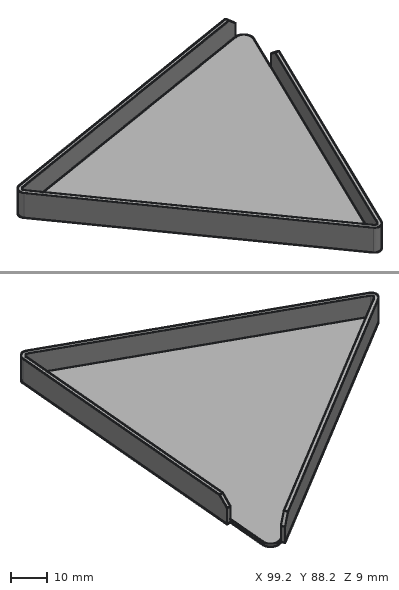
import cadquery as cq
import math

inner_side = 100.0
wall = 1.2
floor_thickness = 1.2
height = 9.0
outer_corner_radius = 2.0
inner_corner_radius = outer_corner_radius - wall

floor_corner_radius = 3.0
back_wall_gap = 18.0
left_wall_gap = 5.0
end_bevel = 3.0

inner_inradius = inner_side / (2 * math.sqrt(3))
outer_inradius = inner_inradius + wall
open_corner = (-inner_side / 2, inner_inradius)
left_side_angle = -60.0


def triangle_prism(inradius, thickness):
    """Equilateral prism standing on Z = 0, with one side facing +Y."""
    half_side = inradius * math.sqrt(3)
    corners = [(-half_side, inradius), (half_side, inradius), (0, -2 * inradius)]
    return cq.Workplane("XY").polyline(corners).close().extrude(thickness)


def round_closed_corners(inner_prism):
    """Round the two corners where walls meet, leaving the open corner sharp."""
    return inner_prism.edges("|Z and (>X or <Y)").fillet(inner_corner_radius)


def make_walls():
    outer = triangle_prism(outer_inradius, height).edges("|Z").fillet(outer_corner_radius)
    inner = round_closed_corners(triangle_prism(inner_inradius, height))
    return outer.cut(inner)


def wall_end_cutter(gap, outward_sign):
    """Cutter that ends a wall running along +X from the origin, `gap` away from it.

    outward_sign tells whether the wall lies on the +Y or the -Y side of the X axis.
    """
    reach = 2 * wall
    profile = [
        (-reach, 0),
        (gap, 0),
        (gap, height - end_bevel),
        (gap + end_bevel, height),
        (-reach, height),
    ]
    return cq.Workplane("XZ").polyline(profile).close().extrude(-outward_sign * reach)


def cut_open_corner(walls):
    corner_position = (open_corner[0], open_corner[1], 0)
    back_cutter = wall_end_cutter(back_wall_gap, 1).translate(corner_position)
    left_cutter = (
        wall_end_cutter(left_wall_gap, -1)
        .rotate((0, 0, 0), (0, 0, 1), left_side_angle)
        .translate(corner_position)
    )
    return walls.cut(back_cutter).cut(left_cutter)


def make_floor():
    floor = triangle_prism(inner_inradius, floor_thickness)
    floor = round_closed_corners(floor)
    return floor.edges("|Z and <X").fillet(floor_corner_radius)


result = cut_open_corner(make_walls()).union(make_floor())